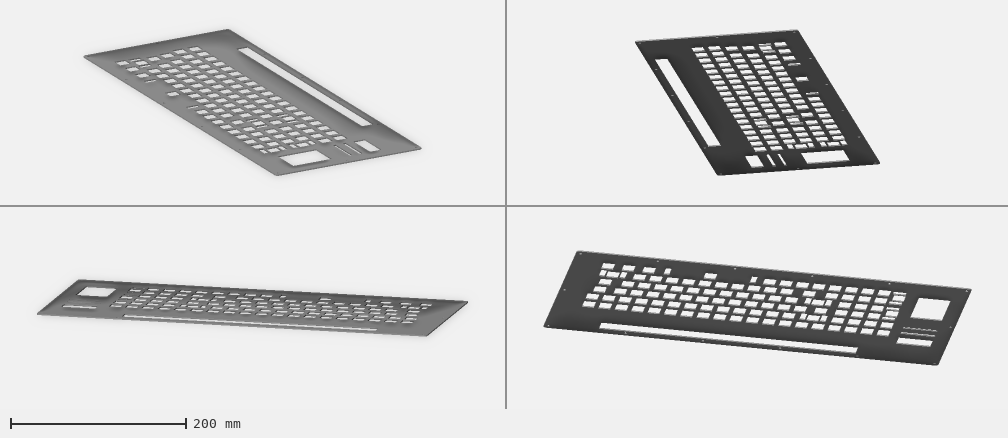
import cadquery as cq

plate_length = 460.0
plate_width = 190.0
plate_thickness = 1.5
corner_radius = 3.0

screw_diameter = 3.0
screw_inset = 5.0
screws_per_long_edge = 6

grid_columns = 19
grid_rows = 6
grid_length = 343.0
key_web = 5.0
margin_right = 70.0
margin_bottom = 22.0
key_pitch = grid_length / (grid_columns - 1)
key_size = key_pitch - key_web
first_key_x = plate_length / 2 - margin_right - key_size / 2 - grid_length
last_row_y = -plate_width / 2 + margin_bottom + key_size / 2
first_key_y = last_row_y + (grid_rows - 1) * key_pitch

space_bar = 6.25
number_pad = [1] * 3
row_keycaps = [
    [1] * grid_columns,
    [1] * 13 + [2] + number_pad + [1],
    [1.5] + [1] * 12 + [1.5] + number_pad,
    [1.75] + [1] * 11 + [2.25] + number_pad,
    [2.25] + [1] * 10 + [1.75] + [1] + number_pad,
    [1.25] * 3 + [space_bar] + [1] * 5 + number_pad,
]

tall_key_column = grid_columns - 1
tall_key_rows = [2.5, 4.5]

stabiliser_width = 7.0
stabiliser_length = 15.0
stabiliser_shift = 1.5
stabilised_keycap = 2
long_key_reach = 12.0
space_bar_reach = 50.0

windows = [
    (299.5, 15.0, -17.5, 77.7),
    (40.0, 15.0, 192.5, 44.0),
    (40.0, 4.0, 192.5, 25.0),
    (40.0, 3.45, 192.5, 12.0),
    (37.3, 50.0, 193.5, -38.0),
]


def key_centre(column, row):
    """Centre of a key given its column and row, counted in pitches from the top-left key."""
    return first_key_x + column * key_pitch, first_key_y - row * key_pitch


def row_keys():
    """Keycap width and centre of every single-height key."""
    keys = []
    for row, keycaps in enumerate(row_keycaps):
        left_edge = -0.5
        for keycap in keycaps:
            keys.append((keycap, key_centre(left_edge + keycap / 2, row)))
            left_edge += keycap
    return keys


def wide_key_slot_centres():
    """Upright slots to the left and right of the wide keys."""
    centres = []
    for keycap, (x, y) in row_keys():
        if keycap < stabilised_keycap:
            continue
        reach = space_bar_reach if keycap == space_bar else long_key_reach
        centres += [(x + side * reach, y - stabiliser_shift) for side in (-1, 1)]
    return centres


def tall_key_slot_centres():
    """Level slots above and below the double-height keys."""
    centres = []
    for x, y in tall_key_centres:
        centres += [(x - stabiliser_shift, y + side * long_key_reach) for side in (-1, 1)]
    return centres


def screw_centres():
    """Screw positions around the plate border."""
    reach_x = plate_length / 2 - screw_inset
    reach_y = plate_width / 2 - screw_inset
    spacing = 2 * reach_x / (screws_per_long_edge - 1)
    centres = [(-reach_x, 0), (reach_x, 0)]
    for i in range(screws_per_long_edge):
        x = -reach_x + i * spacing
        centres += [(x, -reach_y), (x, reach_y)]
    return centres


def through_boxes(length, width, centres):
    """Rectangular cutters spanning the plate thickness."""
    return (
        cq.Workplane("XY")
        .pushPoints(centres)
        .rect(length, width)
        .extrude(plate_thickness)
    )


result = (
    cq.Workplane("XY")
    .rect(plate_length, plate_width)
    .extrude(plate_thickness)
    .edges("|Z")
    .fillet(corner_radius)
)

screw_cutters = (
    cq.Workplane("XY")
    .pushPoints(screw_centres())
    .circle(screw_diameter / 2)
    .extrude(plate_thickness)
)
result = result.cut(screw_cutters)

tall_key_centres = [key_centre(tall_key_column, row) for row in tall_key_rows]
key_centres = [centre for _, centre in row_keys()] + tall_key_centres
result = result.cut(through_boxes(key_size, key_size, key_centres))

result = result.cut(through_boxes(stabiliser_width, stabiliser_length, wide_key_slot_centres()))
result = result.cut(through_boxes(stabiliser_length, stabiliser_width, tall_key_slot_centres()))

for length, width, x, y in windows:
    result = result.cut(through_boxes(length, width, [(x, y)]))